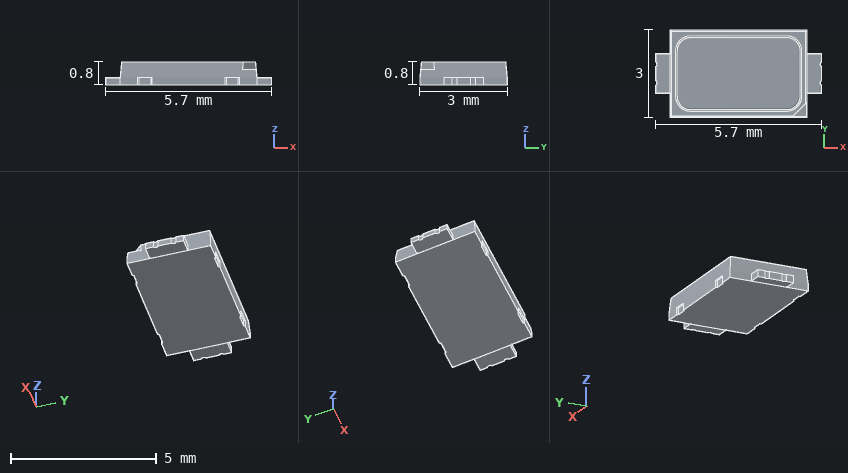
import cadquery as cq
import math

overall_length = 5.7
overall_width = 3.0
overall_height = 0.8

housing_length = 4.695
base_height = 0.255
wall_inset = 0.05

mark_depth = 0.27
mark_leg = 0.525

notch_center_x = 1.5
notch_outer_length = 0.5
notch_depth = 0.0485

cavity_length = 4.32
cavity_width = 2.59
cavity_corner_radius = 0.515
cavity_depth = 0.4
cavity_taper_angle = 40.0

lens_edge_radius = 0.0485

lead_width = 1.36
scallop_center_y = 0.32
scallop_width = 0.17
scallop_depth = 0.045

wall_height = overall_height - base_height
draft_angle = math.degrees(math.atan(wall_inset / wall_height))


def make_cavity_fill():
    """Solid that fills the cavity, narrowing downward from the housing top."""
    return (
        cq.Workplane("XY")
        .workplane(offset=overall_height)
        .sketch()
        .rect(cavity_length, cavity_width)
        .vertices()
        .fillet(cavity_corner_radius)
        .finalize()
        .extrude(-cavity_depth, taper=cavity_taper_angle)
    )


def make_notch(side_x, side_y):
    """Cutter for one base notch with 45 degree ends; side_x and side_y are +1 or -1."""
    center_x = side_x * notch_center_x
    outer_y = side_y * overall_width / 2
    inner_y = outer_y - side_y * notch_depth
    outer_half = notch_outer_length / 2
    inner_half = outer_half - notch_depth
    return (
        cq.Workplane("XY")
        .polyline([
            (center_x - outer_half, outer_y),
            (center_x + outer_half, outer_y),
            (center_x + inner_half, inner_y),
            (center_x - inner_half, inner_y),
        ])
        .close()
        .extrude(base_height)
    )


def make_corner_mark():
    """Triangular cutter for the stepped corner, measured from the base corner."""
    corner_x = housing_length / 2
    corner_y = -overall_width / 2
    return (
        cq.Workplane("XY")
        .workplane(offset=overall_height - mark_depth)
        .polyline([
            (corner_x, corner_y),
            (corner_x, corner_y + mark_leg),
            (corner_x - mark_leg, corner_y),
        ])
        .close()
        .extrude(mark_depth)
    )


def make_housing():
    """Base and drafted walls, cut by the cavity, the corner mark and the notches."""
    body = cq.Workplane("XY").rect(housing_length, overall_width).extrude(base_height)
    walls = (
        cq.Workplane("XY")
        .workplane(offset=base_height)
        .rect(housing_length, overall_width)
        .extrude(wall_height, taper=draft_angle)
    )
    body = body.union(walls, clean=False).cut(make_cavity_fill()).cut(make_corner_mark())
    for side_x in (-1, 1):
        for side_y in (-1, 1):
            body = body.cut(make_notch(side_x, side_y))
    return body


def make_lens():
    """Cavity fill with a rounded top edge, flush with the housing top."""
    return make_cavity_fill().faces(">Z").edges().fillet(lens_edge_radius)


def make_lead(side):
    """Flat lead outside one end of the housing; side is +1 or -1 along X."""
    inner_x = side * housing_length / 2
    outer_x = side * overall_length / 2
    scallop_x = outer_x - side * scallop_depth
    half_width = lead_width / 2
    outline = cq.Workplane("XY").moveTo(inner_x, -half_width).lineTo(outer_x, -half_width)
    for center_y in (-scallop_center_y, scallop_center_y):
        outline = outline.lineTo(outer_x, center_y - scallop_width / 2).threePointArc(
            (scallop_x, center_y), (outer_x, center_y + scallop_width / 2)
        )
    return outline.lineTo(outer_x, half_width).lineTo(inner_x, half_width).close().extrude(base_height)


housing = make_housing()
lens = make_lens()
leads = [make_lead(side) for side in (-1, 1)]

result = cq.Compound.makeCompound([
    housing.val(),
    lens.val(),
    *[lead.val() for lead in leads],
])